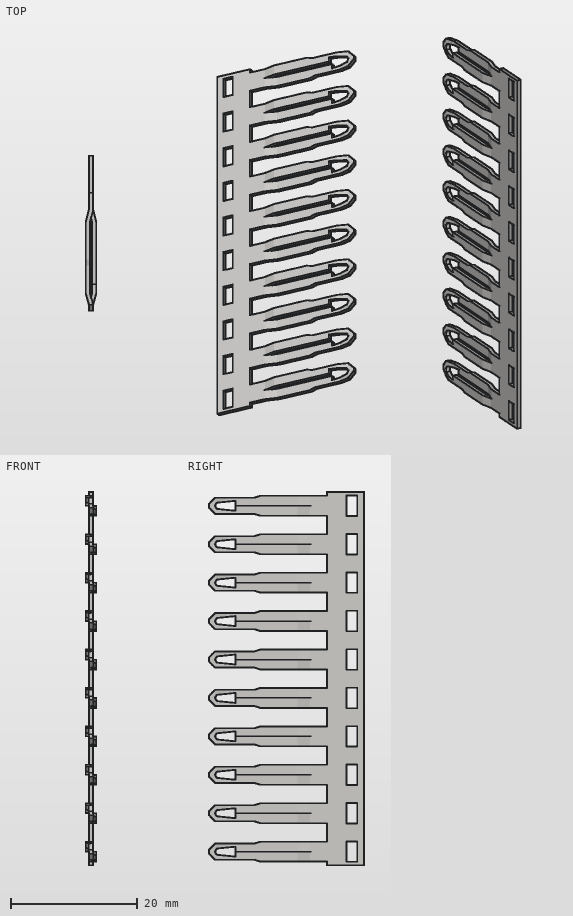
import cadquery as cq

strip_length = 59.2
strip_width = 5.9
thickness = 0.7

pin_count = 10
end_margin = 2.2
pin_pitch = (strip_length - 2 * end_margin) / (pin_count - 1)

slot_near = 1.1
slot_width = 1.65

pin_reach = 24.6
root_half_height = 1.6
neck_half_height = 1.3
neck_start = 16.45
neck_end = 17.4
tip_start = 23.6
tip_half_height = 0.3

eye_start = 20.4
eye_shoulder = 23.3
eye_end = 23.55
eye_half_height = 0.75
eye_shoulder_half_height = 0.5

spread_width = 1.7
spread_offset = (spread_width - thickness) / 2
spread_start = 8.6
spread_full = 10.55
return_run = 1.8
return_start = tip_start - return_run
outer_bend_radius = thickness


def pin_outline():
    """Silhouette of one pin, starting at the front edge of the strip."""
    lower_edge = [
        (-strip_width, -root_half_height),
        (-neck_start, -root_half_height),
        (-neck_end, -neck_half_height),
        (-tip_start, -neck_half_height),
        (-pin_reach, -tip_half_height),
    ]
    upper_edge = [(y, -z) for y, z in reversed(lower_edge)]
    outline = cq.Workplane("YZ").polyline(lower_edge + upper_edge).close()
    return outline.extrude(spread_width / 2, both=True)


def pin_eye():
    """Eye that narrows slightly toward a rounded end near the tip."""
    return (
        cq.Workplane("YZ")
        .moveTo(-eye_start, -eye_half_height)
        .lineTo(-eye_shoulder, -eye_shoulder_half_height)
        .threePointArc((-eye_end, 0), (-eye_shoulder, eye_shoulder_half_height))
        .lineTo(-eye_start, eye_half_height)
        .close()
        .extrude(spread_width / 2, both=True)
    )


def bent_half(side):
    """Bent ribbon for half a pin: side +1 is above mid-height and bends to -X, -1 is the reverse."""
    spread_x = -side * spread_offset
    centre_line = [
        (strip_width, 0),
        (spread_start, 0),
        (spread_full, spread_x),
        (return_start, spread_x),
        (tip_start, 0),
        (pin_reach, 0),
    ]
    left_face = [(x - thickness / 2, -distance) for distance, x in centre_line]
    right_face = [(x + thickness / 2, -distance) for distance, x in reversed(centre_line)]
    ribbon = cq.Workplane("XY").polyline(left_face + right_face).close()
    ribbon = ribbon.extrude(side * root_half_height)

    rounded_folds = [
        (spread_start, 0, side),
        (return_start, spread_x, -side),
        (tip_start, 0, side),
    ]
    for distance, fold_x, outward in rounded_folds:
        fold_point = (fold_x + outward * thickness / 2, -distance, side * root_half_height / 2)
        fold_edge = cq.NearestToPointSelector(fold_point)
        ribbon = ribbon.edges(fold_edge).fillet(outer_bend_radius)
    return ribbon


def make_pin():
    """Both bent halves, trimmed to the pin silhouette and pierced by the eye."""
    ribbons = bent_half(1).union(bent_half(-1))
    return ribbons.intersect(pin_outline()).cut(pin_eye())


def make_strip():
    """Flat carrier with its back edge at Y = 0."""
    strip = cq.Workplane("XY").box(thickness, strip_width, strip_length)
    return strip.translate((0, -strip_width / 2, 0))


def make_slot():
    """Pilot slot through the carrier, as tall as a pin root."""
    slot = cq.Workplane("XY").box(thickness, slot_width, 2 * root_half_height)
    return slot.translate((0, -slot_near - slot_width / 2, 0))


result = make_strip()
pin = make_pin()
slot = make_slot()
for index in range(pin_count):
    pin_z = (index - (pin_count - 1) / 2) * pin_pitch
    result = result.union(pin.translate((0, 0, pin_z)))
    result = result.cut(slot.translate((0, 0, pin_z)))